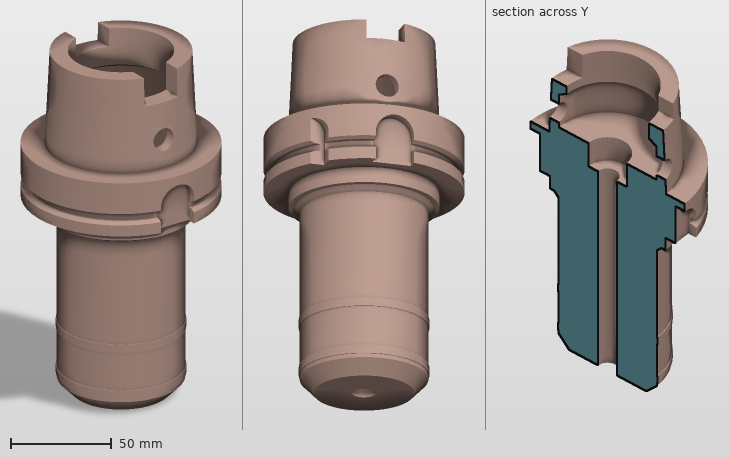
import cadquery as cq
import math

OVERALL_LENGTH = 185.0

SHANK_LENGTH = 50.0
SHANK_BASE_RADIUS = 38.0
SHANK_TOP_RADIUS = 35.5
SHANK_HOLE_RADIUS = 6.0
SHANK_HOLE_HEIGHT = 15.0
NOTCH_WIDTH = 20.0
SHALLOW_NOTCH_DEPTH = 10.0
DEEP_NOTCH_DEPTH = 15.0

MOUTH_RADIUS = 26.5
MOUTH_DEPTH = 20.0
CLAMP_RADIUS = 31.5
CLAMP_CONE_ANGLE = 30.0
CLAMP_DEPTH = 44.0
COUNTERBORE_RADIUS = 12.25
COUNTERBORE_DEPTH = 15.0
COOLANT_RADIUS = 6.0

FLANGE_RADIUS = 50.0
FLANGE_THICKNESS = 29.0
GROOVE_RADIUS = 46.0
GROOVE_TOP = -16.8
GROOVE_BOTTOM = -23.0
GROOVE_CHAMFER_RADIUS = 47.8
GROOVE_CHAMFER_HEIGHT = 1.25

DRIVE_SLOT_WIDTH = 20.0
DRIVE_SLOT_FLOOR = 44.0
SLOT_TOP = -5.0
LOCATING_SLOT_FLOOR = 31.8
LOCATING_SLOT_EDGE = 31.4
LOCATING_SLOT_WIDTH = 16.0

COLLAR_RADIUS = 37.5
COLLAR_BOTTOM = -37.0
COLLAR_CONE_RADIUS = 34.8
COLLAR_CONE_HEIGHT = 2.9
BODY_RADIUS = 32.0
END_RADIUS = 25.0
END_CHAMFER_HEIGHT = 7.2

BAND_RADIUS = 32.5
BAND_HEIGHT = 4.4
BAND_OFFSETS = (9.3, 34.4)

BODY_END = SHANK_LENGTH - OVERALL_LENGTH


def make_outside():
    groove_upper_wall = GROOVE_TOP - GROOVE_CHAMFER_HEIGHT
    groove_lower_wall = GROOVE_BOTTOM + GROOVE_CHAMFER_HEIGHT
    profile = [
        (0, SHANK_LENGTH),
        (SHANK_TOP_RADIUS, SHANK_LENGTH),
        (SHANK_BASE_RADIUS, 0),
        (FLANGE_RADIUS, 0),
        (FLANGE_RADIUS, GROOVE_TOP),
        (GROOVE_CHAMFER_RADIUS, groove_upper_wall),
        (GROOVE_RADIUS, groove_upper_wall),
        (GROOVE_RADIUS, groove_lower_wall),
        (GROOVE_CHAMFER_RADIUS, groove_lower_wall),
        (FLANGE_RADIUS, GROOVE_BOTTOM),
        (FLANGE_RADIUS, -FLANGE_THICKNESS),
        (COLLAR_RADIUS, -FLANGE_THICKNESS),
        (COLLAR_RADIUS, COLLAR_BOTTOM),
        (COLLAR_CONE_RADIUS, COLLAR_BOTTOM),
        (BODY_RADIUS, COLLAR_BOTTOM - COLLAR_CONE_HEIGHT),
        (BODY_RADIUS, BODY_END + END_CHAMFER_HEIGHT),
        (END_RADIUS, BODY_END),
        (0, BODY_END),
    ]
    return cq.Workplane("XZ").polyline(profile).close().revolve(360, (0, 0), (0, 1))


def make_band(offset):
    return cq.Workplane("XY").workplane(offset=BODY_END + offset).circle(BAND_RADIUS).extrude(BAND_HEIGHT)


def make_bore():
    mouth_bottom = SHANK_LENGTH - MOUTH_DEPTH
    cone_height = (CLAMP_RADIUS - MOUTH_RADIUS) * math.tan(math.radians(CLAMP_CONE_ANGLE))
    floor = SHANK_LENGTH - CLAMP_DEPTH
    counterbore_floor = floor - COUNTERBORE_DEPTH
    profile = [
        (0, SHANK_LENGTH),
        (MOUTH_RADIUS, SHANK_LENGTH),
        (MOUTH_RADIUS, mouth_bottom),
        (CLAMP_RADIUS, mouth_bottom - cone_height),
        (CLAMP_RADIUS, floor),
        (COUNTERBORE_RADIUS, floor),
        (COUNTERBORE_RADIUS, counterbore_floor),
        (COOLANT_RADIUS, counterbore_floor),
        (COOLANT_RADIUS, BODY_END),
        (0, BODY_END),
    ]
    return cq.Workplane("XZ").polyline(profile).close().revolve(360, (0, 0), (0, 1))


def make_notch(side, depth):
    """Key notch in the shank mouth, on the side of X given by its sign."""
    return cq.Workplane("XY").box(FLANGE_RADIUS, NOTCH_WIDTH, depth).translate(
        (side * FLANGE_RADIUS / 2, 0, SHANK_LENGTH - depth / 2)
    )


def make_cross_hole():
    return (
        cq.Workplane("YZ")
        .center(0, SHANK_HOLE_HEIGHT)
        .circle(SHANK_HOLE_RADIUS)
        .extrude(FLANGE_RADIUS, both=True)
    )


def make_rim_slot(side, floor, center_y, width):
    """Round-topped slot, open below and outward, with a flat floor facing along X."""
    radius = width / 2
    shoulder = SLOT_TOP - radius
    return (
        cq.Workplane("YZ", origin=(side * floor, 0, 0))
        .moveTo(center_y - radius, -FLANGE_THICKNESS)
        .lineTo(center_y - radius, shoulder)
        .threePointArc((center_y, SLOT_TOP), (center_y + radius, shoulder))
        .lineTo(center_y + radius, -FLANGE_THICKNESS)
        .close()
        .extrude(side * FLANGE_RADIUS)
    )


result = make_outside()
for band_offset in BAND_OFFSETS:
    result = result.union(make_band(band_offset))

result = result.cut(make_bore())
result = result.cut(make_notch(-1, SHALLOW_NOTCH_DEPTH))
result = result.cut(make_notch(1, DEEP_NOTCH_DEPTH))
result = result.cut(make_cross_hole())

for slot_side in (-1, 1):
    result = result.cut(make_rim_slot(slot_side, DRIVE_SLOT_FLOOR, 0, DRIVE_SLOT_WIDTH))

locating_slot_center = LOCATING_SLOT_EDGE + LOCATING_SLOT_WIDTH / 2
result = result.cut(make_rim_slot(-1, LOCATING_SLOT_FLOOR, locating_slot_center, LOCATING_SLOT_WIDTH))